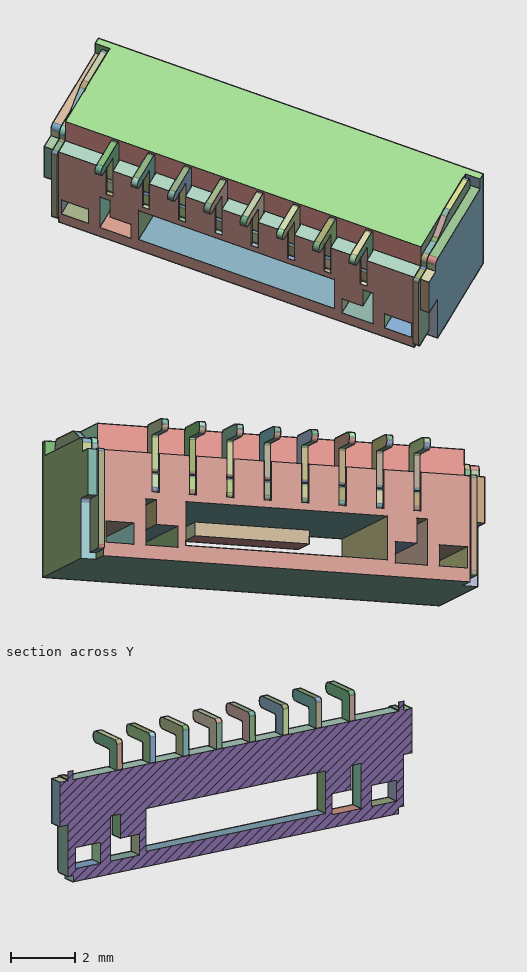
import cadquery as cq


length = 13.25
height = 4.3
upper_depth = 3.54
wall_depth = 4.04
corner_depth = 4.03
step_height = 3.38

end_width = 0.5
ledge_height = 3.84
ledge_rear = 0.24
ledge_radius = 0.17

notch_height = 1.91
notch_rear = 3.39
notch_radius = 0.1

window_top = 1.91
main_half_width = 3.37
main_floor = 0.52
side_floor = 0.44
side_top = 1.11
corner_inner, corner_outer = 5.1, 6.03
foot_inner, foot_outer = 3.63, 4.7
riser_inner = 4.35

key_half_width = 1.91
key_bottom = 1.47
key_length = 1.0

contact_count = 8
contact_span = 8.75
pitch = contact_span / (contact_count - 1)
contact_width = 0.21
slot_width = 0.24
contact_top = 4.35
contact_bottom = 2.15
leg_rear, leg_front = 3.58, 3.99
arm_bottom = 3.96
tip = 4.9
tip_radius = 0.17
leg_top_radius = 0.12
elbow_radius = 0.05
toe_radius = 0.16
groove_bottom, groove_top = 2.78, 2.81
groove_floor = 3.9
groove_lip_radius = 0.07

clip_width = 0.2
clip_rear = 0.32
clip_rear_radius = 0.17
clip_crest = 1.93
clip_crest_radius = 0.5
clip_valley = 2.74
clip_valley_radius = 0.32
clip_low_height = 3.87
clip_upper_front = 3.58
clip_shoulder_radius = 0.21
clip_inner_radius = 0.07
clip_front = 4.15
clip_front_top_radius = 0.09
clip_front_bottom_radius = 0.12
clip_bottom = 0.21
clip_step_height = 3.4


def box(x_range, forward_range, z_range):
    """Box spanning X, distance forward of the rear face, and Z."""
    x0, x1 = x_range
    f0, f1 = forward_range
    z0, z1 = z_range
    return cq.Workplane("XY").box(x1 - x0, f1 - f0, z1 - z0, centered=False).translate((x0, -f1, z0))


def side_plate(points, width, x_center):
    """Plate with a side profile of (forward, height) points, centred on x_center."""
    profile = [(-forward, z) for forward, z in points]
    plate = cq.Workplane("YZ").polyline(profile).close().extrude(width / 2, both=True)
    return plate.translate((x_center, 0, 0))


def round_edge(body, x_center, forward, z, radius):
    """Round the X-directed edge that passes through the given point."""
    return body.edges(cq.selectors.NearestToPointSelector((x_center, -forward, z))).fillet(radius)


def mirror_pair(body):
    """The body together with its copy at the opposite end."""
    return body.union(body.mirror("YZ"))


def make_block():
    upper = box((-length / 2, length / 2), (0, upper_depth), (0, height))
    lower = box((-length / 2, length / 2), (0, corner_depth), (0, step_height))
    wall_half_width = length / 2 - end_width
    wall = box((-wall_half_width, wall_half_width), (0, wall_depth), (0, step_height))
    return upper.union(lower).union(wall)


def make_end_cuts():
    """Ledge and notch cutters for the -X end."""
    x_range = (-length / 2, -length / 2 + end_width)
    x_middle = sum(x_range) / 2
    ledge = box(x_range, (ledge_rear, wall_depth), (ledge_height, height))
    notch = box(x_range, (notch_rear, wall_depth), (0, notch_height))
    notch = round_edge(notch, x_middle, notch_rear, notch_height, notch_radius)
    return ledge.union(notch)


def round_ledges(body):
    x_middle = (length - end_width) / 2
    for x in (-x_middle, x_middle):
        body = round_edge(body, x, upper_depth, ledge_height, ledge_radius)
    return body


def make_windows():
    through = (0, wall_depth)
    main = box((-main_half_width, main_half_width), through, (main_floor, window_top))
    key = box((-key_half_width, key_half_width), (0, key_length), (key_bottom, window_top))
    corner = box((-corner_outer, -corner_inner), through, (side_floor, side_top))
    foot = box((-foot_outer, -foot_inner), through, (side_floor, side_top))
    riser = box((-foot_outer, -riser_inner), through, (side_floor, window_top))
    return main.cut(key).union(mirror_pair(corner.union(foot).union(riser)))


def make_slot(x):
    x_range = (x - slot_width / 2, x + slot_width / 2)
    return box(x_range, (leg_rear, wall_depth), (contact_bottom, step_height))


def make_contact(x):
    outline = [
        (leg_rear, contact_bottom),
        (leg_rear, contact_top),
        (tip, contact_top),
        (tip, arm_bottom),
        (leg_front, arm_bottom),
        (leg_front, groove_top),
        (groove_floor, groove_top),
        (groove_floor, groove_bottom),
        (leg_front, groove_bottom),
        (leg_front, contact_bottom),
    ]
    contact = side_plate(outline, contact_width, x)
    rounds = [
        (leg_rear, contact_top, leg_top_radius),
        (tip, contact_top, tip_radius),
        (tip, arm_bottom, tip_radius),
        (leg_front, arm_bottom, elbow_radius),
        (leg_front, groove_top, groove_lip_radius),
        (leg_front, groove_bottom, groove_lip_radius),
        (leg_front, contact_bottom, toe_radius),
    ]
    for forward, z, radius in rounds:
        contact = round_edge(contact, x, forward, z, radius)
    return contact


def make_clip():
    """Clip at the -X end; its inner face lies against the end of the raised top."""
    x = -length / 2 + end_width - clip_width / 2
    outline = [
        (clip_rear, clip_bottom),
        (clip_rear, contact_top),
        (clip_crest, contact_top),
        (clip_valley, clip_low_height),
        (clip_upper_front, clip_low_height),
        (clip_upper_front, clip_step_height),
        (clip_front, clip_step_height),
        (clip_front, clip_bottom),
    ]
    clip = side_plate(outline, clip_width, x)
    rounds = [
        (clip_rear, contact_top, clip_rear_radius),
        (clip_crest, contact_top, clip_crest_radius),
        (clip_valley, clip_low_height, clip_valley_radius),
        (clip_upper_front, clip_low_height, clip_shoulder_radius),
        (clip_upper_front, clip_step_height, clip_inner_radius),
        (clip_front, clip_step_height, clip_front_top_radius),
        (clip_front, clip_bottom, clip_front_bottom_radius),
    ]
    for forward, z, radius in rounds:
        clip = round_edge(clip, x, forward, z, radius)
    return clip


contact_places = [i * pitch - contact_span / 2 for i in range(contact_count)]

result = round_ledges(make_block().cut(mirror_pair(make_end_cuts())))
result = result.cut(make_windows())
for place in contact_places:
    result = result.cut(make_slot(place)).union(make_contact(place))
result = result.union(mirror_pair(make_clip()))